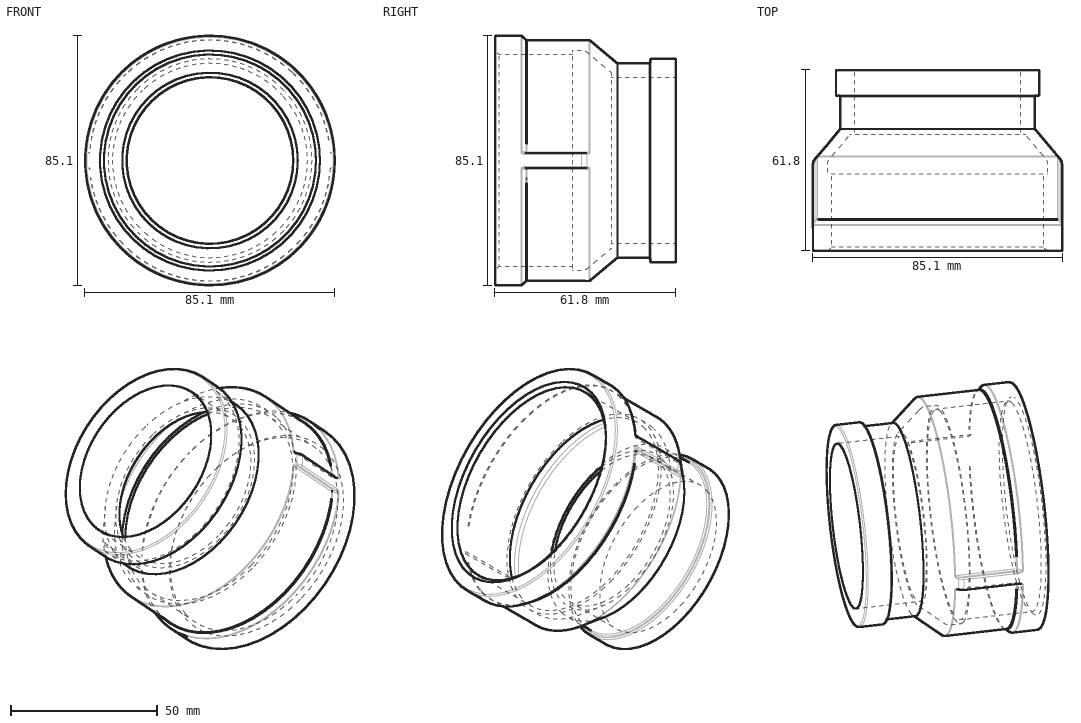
import cadquery as cq
import math

length = 61.8
mouth_y = -length / 2

collar_radius = 85.1 / 2
body_radius = 82.1 / 2
neck_radius = 66.4 / 2
flange_radius = 69.4 / 2

collar_width = 9.0
cone_end = 41.7
flange_start = 52.9
cone_angle = math.radians(40)
edge_round = 0.5

rib_width = 5.0
rib_end_round = 3.0

mouth_radius = 75.0 / 2
bore_radius = 72.25 / 2
relief_radius = mouth_radius
inner_cone_small_radius = 59.8 / 2
narrow_bore_radius = 56.7 / 2
bore_depth = 26.4
inner_cone_end = 39.7
relief_round = 2.0

tolerance = 0.1


def cone_run(large_radius, small_radius):
    """Axial length of a sloped wall between two radii."""
    return (large_radius - small_radius) / math.tan(cone_angle)


step_end = collar_width + cone_run(collar_radius, body_radius)
rib_cone_start = cone_end - cone_run(collar_radius, neck_radius)
body_end = cone_end - cone_run(body_radius, neck_radius)
inner_cone_start = inner_cone_end - cone_run(relief_radius, inner_cone_small_radius)


def revolve_outline(points):
    """Turn a closed outline of (radius, distance from the mouth) points about the Y axis."""
    outline = cq.Workplane("XY", origin=(0, mouth_y, 0)).polyline(points).close()
    return outline.revolve(360, (0, 0, 0), (0, 1, 0))


def circles_at(distance, largest_radius):
    """Selector for the circles at a distance from the mouth, up to a given radius."""
    reach = largest_radius + tolerance
    y = mouth_y + distance
    return cq.selectors.BoxSelector(
        (-reach, y - tolerance, -reach), (reach, y + tolerance, reach), boundingbox=True
    )


def radius_of(shape):
    """Distance of a shape's centre from the Y axis."""
    return math.hypot(shape.Center().x, shape.Center().z)


def envelope():
    """Outside of the part at full collar radius, with its circular edges rounded."""
    solid = revolve_outline(
        [
            (0, 0),
            (collar_radius, 0),
            (collar_radius, rib_cone_start),
            (neck_radius, cone_end),
            (neck_radius, flange_start),
            (flange_radius, flange_start),
            (flange_radius, length),
            (0, length),
        ]
    )
    solid = solid.edges(circles_at(rib_cone_start, collar_radius)).fillet(rib_end_round)
    solid = solid.edges(circles_at(0, collar_radius)).fillet(edge_round)
    for distance in (flange_start, length):
        solid = solid.edges(circles_at(distance, flange_radius)).fillet(edge_round)
    return solid


def body_recess():
    """Ring cleared around the body behind the collar, interrupted by the two ribs."""
    clear_radius = 2 * collar_radius - body_radius
    ring = revolve_outline(
        [
            (body_radius, step_end),
            (clear_radius, step_end - cone_run(clear_radius, body_radius)),
            (clear_radius, body_end),
            (body_radius, body_end),
        ]
    )
    rib_slab = cq.Workplane("XY").box(2 * clear_radius, length, rib_width)
    recess = ring.cut(rib_slab)

    middle_y = mouth_y + (step_end + body_end) / 2

    def borders_floor(edge):
        nearest_radius = min(radius_of(end) for end in edge.Vertices())
        return nearest_radius < body_radius + tolerance and edge.Center().y < middle_y + tolerance

    return recess.edges().filter(borders_floor).fillet(edge_round)


def round_recess_rim(solid):
    """Round the rib crests; the rounding runs on along the edge of the collar."""

    def on_rib_crest(edge):
        on_rib_flank = abs(abs(edge.Center().z) - rib_width / 2) < tolerance
        return on_rib_flank and radius_of(edge) > collar_radius - tolerance

    return solid.edges("|Y").filter(on_rib_crest).fillet(edge_round)


def passage():
    """Stepped bore: chamfered mouth, wide bore, relief groove, inner cone and narrow bore."""
    chamfer_depth = mouth_radius - bore_radius
    cavity = revolve_outline(
        [
            (0, 0),
            (mouth_radius, 0),
            (bore_radius, chamfer_depth),
            (bore_radius, bore_depth),
            (relief_radius, bore_depth),
            (relief_radius, inner_cone_start),
            (inner_cone_small_radius, inner_cone_end),
            (narrow_bore_radius, inner_cone_end),
            (narrow_bore_radius, length),
            (0, length),
        ]
    )
    return cavity.edges(circles_at(inner_cone_start, relief_radius)).fillet(relief_round)


outer = round_recess_rim(envelope().cut(body_recess()))
result = outer.cut(passage())